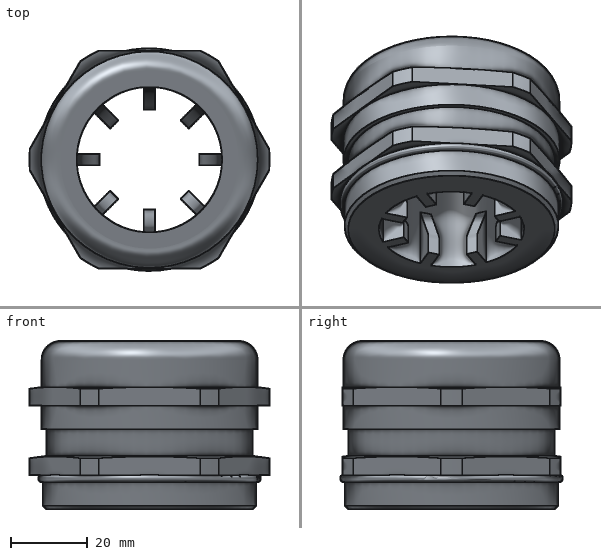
import cadquery as cq
import math

total_height = 44.0
seal_base = 7.1
lower_hex_base = 9.0
collar_base = 21.0
upper_hex_base = 27.1

thread_radius = 27.95
neck_radius = 27.0
cap_radius = 28.25
bore_radius = 18.95
thread_chamfer = 1.0
cap_rounding = 5.0

hex_across_flats = 56.95
hex_rim_radius = 31.4
hex_rim_height = 4.4
hex_top_slope = 8.0

seal_outer_diameter = 58.2
seal_section_radius = 1.0

rib_count = 8
rib_width = 3.0
rib_tip_radius = 13.0
rib_top = 15.7
rib_slope = 60.0
rib_tip_rounding = 3.25


def cylinder(radius, base, top):
    return cq.Workplane("XY").workplane(offset=base).circle(radius).extrude(top - base)


def make_cap():
    cap = cylinder(cap_radius, collar_base, total_height)
    return cap.faces(">Z").edges().fillet(cap_rounding)


def make_thread():
    thread = cylinder(thread_radius, 0, lower_hex_base)
    return thread.faces("<Z").edges().chamfer(thread_chamfer)


def make_hex_flange(base, inner_radius):
    """Hexagon with corners along X, cut to a round blank whose top is a shallow cone."""
    rim_top = base + hex_rim_height
    rise = (hex_rim_radius - inner_radius) * math.tan(math.radians(hex_top_slope))
    blank = (
        cq.Workplane("XZ")
        .moveTo(0, base)
        .lineTo(hex_rim_radius, base)
        .lineTo(hex_rim_radius, rim_top)
        .lineTo(inner_radius, rim_top + rise)
        .lineTo(0, rim_top + rise)
        .close()
        .revolve(360, (0, 0, 0), (0, 1, 0))
    )
    across_corners = hex_across_flats / math.cos(math.radians(30))
    hexagon = (
        cq.Workplane("XY")
        .workplane(offset=base)
        .polygon(6, across_corners)
        .extrude(hex_rim_height + rise)
    )
    return blank.intersect(hexagon)


def make_seal():
    """Ring whose outer side is a half-round bead; its inner side is buried in the thread."""
    seal_outer_radius = seal_outer_diameter / 2
    bead_radius = seal_outer_radius - seal_section_radius
    bead_middle = seal_base + seal_section_radius
    seal_top = seal_base + 2 * seal_section_radius
    return (
        cq.Workplane("XZ")
        .moveTo(bore_radius, seal_base)
        .lineTo(bead_radius, seal_base)
        .threePointArc((seal_outer_radius, bead_middle), (bead_radius, seal_top))
        .lineTo(bore_radius, seal_top)
        .close()
        .revolve(360, (0, 0, 0), (0, 1, 0))
    )


def make_rib(angle):
    """Wedge on the bore wall, sloping down and inwards to a rounded tip edge.

    Its root reaches into the wall so that it joins the body along the whole height.
    """
    rib_tip_height = rib_top - (bore_radius - rib_tip_radius) * math.tan(math.radians(rib_slope))
    root_radius = (bore_radius + neck_radius) / 2
    rib = (
        cq.Workplane("XZ")
        .moveTo(rib_tip_radius, 0)
        .lineTo(root_radius, 0)
        .lineTo(root_radius, rib_top)
        .lineTo(bore_radius, rib_top)
        .lineTo(rib_tip_radius, rib_tip_height)
        .close()
        .extrude(rib_width / 2, both=True)
    )
    tip_edge = cq.selectors.NearestToPointSelector((rib_tip_radius, 0, rib_tip_height))
    rib = rib.edges(tip_edge).fillet(rib_tip_rounding)
    return rib.rotate((0, 0, 0), (0, 0, 1), angle)


body = cylinder(neck_radius, 0, collar_base)
body = body.union(make_thread())
body = body.union(make_seal())
body = body.union(make_hex_flange(lower_hex_base, neck_radius))
body = body.union(make_cap())
body = body.union(make_hex_flange(upper_hex_base, cap_radius))
body = body.cut(cylinder(bore_radius, 0, total_height))
for index in range(rib_count):
    body = body.union(make_rib(index * 360 / rib_count))

result = body